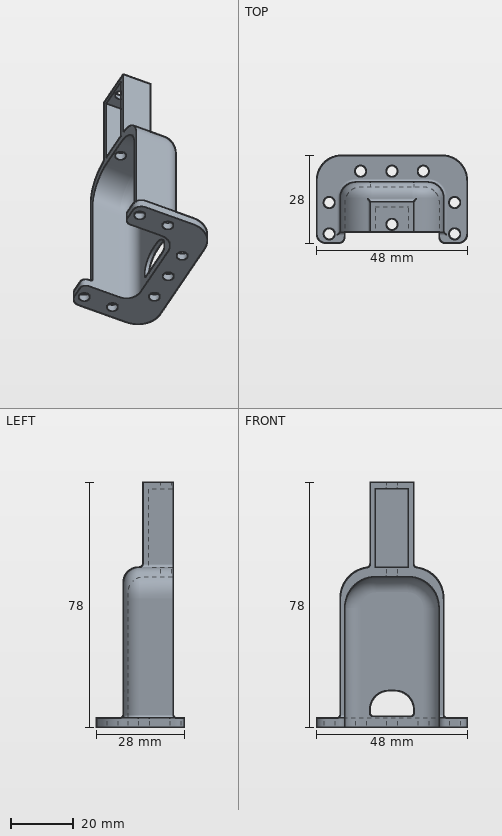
import cadquery as cq

base_width = 48.0
base_depth = 28.0
base_thickness = 3.0
base_back_radius = 8.0
base_front_radius = 3.0
lip_inner_radius = 2.0

hood_width = 33.0
hood_front = 3.5
hood_depth = 16.0
hood_top = 51.0
arch_radius = 10.0
edge_round = 5.0
side_wall = 1.5
back_wall = 1.5
crown_thickness = 3.05
foot_fillet = 1.0

total_height = 78.0
post_width = 14.0
post_depth = 9.75
post_side_wall = 1.7
post_back_wall = 1.7
post_cap = 2.0
post_fillet = 1.0

hole_diameter = 3.5
hole_spacing = 10.0
front_hole_y = 3.0
post_hole_y = 6.0
window_width = 14.0
window_bottom = 3.5
window_top = 11.6
window_top_radius = 6.0
window_bottom_radius = 1.0

margin = 0.1

hood_back = hood_front + hood_depth
post_back = hood_front + post_depth
cavity_width = hood_width - 2 * side_wall


def block(width, front, back, bottom, top):
    """Box centred on X between the given Y and Z limits."""
    return (
        cq.Workplane("XY", origin=(0, (front + back) / 2, bottom))
        .box(width, back - front, top - bottom, centered=(True, True, False))
    )


def arched_block(width, front, back, top):
    """Block with rounded upper corners and a rounded back rim."""
    body = block(width, front, back, 0, top)
    body = body.edges("|Y and >Z").fillet(arch_radius)
    return body.faces(">Y").edges("not <Z").fillet(edge_round)


def make_flange():
    flange = block(base_width, 0, base_depth, 0, base_thickness)
    flange = flange.edges("|Z and >Y").fillet(base_back_radius)
    return flange.edges("|Z and <Y").fillet(base_front_radius)


def make_post():
    return block(post_width, hood_front, post_back, hood_top - arch_radius, total_height)


def fillet_foot(body):
    """Blend the hood into the top of the flange."""
    foot = cq.selectors.BoxSelector(
        (-hood_width / 2 - margin, hood_front - margin, base_thickness - margin),
        (hood_width / 2 + margin, hood_back + margin, base_thickness + margin),
    )
    return body.edges(foot).fillet(foot_fillet)


def fillet_post(body):
    """Blend the sides and back of the post into the crown of the hood."""
    seam_drop = 1.55
    seam = cq.selectors.BoxSelector(
        (-post_width / 2 - margin, hood_front + margin, hood_top - seam_drop),
        (post_width / 2 + margin, post_back + margin, hood_top + margin),
    )
    return body.edges(seam).fillet(post_fillet)


def make_window():
    window = block(window_width, hood_back - edge_round, base_depth, window_bottom, window_top)
    window = window.edges("|Y and >Z").fillet(window_top_radius)
    return window.edges("|Y and <Z").fillet(window_bottom_radius)


def make_holes():
    side_x = 2 * hole_spacing
    middle_y = front_hole_y + hole_spacing
    back_y = middle_y + hole_spacing
    flange_points = [(side * side_x, y) for side in (-1, 1) for y in (front_hole_y, middle_y)]
    flange_points += [(column * hole_spacing, back_y) for column in (-1, 0, 1)]
    flange_holes = cq.Workplane("XY").pushPoints(flange_points).circle(hole_diameter / 2)
    post_hole = cq.Workplane("XY").center(0, post_hole_y).circle(hole_diameter / 2)
    return flange_holes.extrude(base_thickness).union(post_hole.extrude(total_height))


hood = arched_block(hood_width, hood_front, hood_back, hood_top)
body = fillet_post(hood.union(make_post()))
body = fillet_foot(body.union(make_flange()))

cavity = arched_block(cavity_width, 0, hood_back - back_wall, hood_top - crown_thickness)
body = body.cut(cavity)
lip_corners = cq.selectors.BoxSelector(
    (-cavity_width / 2 - side_wall, -margin, 0),
    (cavity_width / 2 + side_wall, margin, base_thickness),
)
body = body.edges("|Z").edges(lip_corners).fillet(lip_inner_radius)

post_pocket = block(
    post_width - 2 * post_side_wall,
    hood_front,
    post_back - post_back_wall,
    hood_top,
    total_height - post_cap,
)
result = body.cut(post_pocket).cut(make_window()).cut(make_holes())